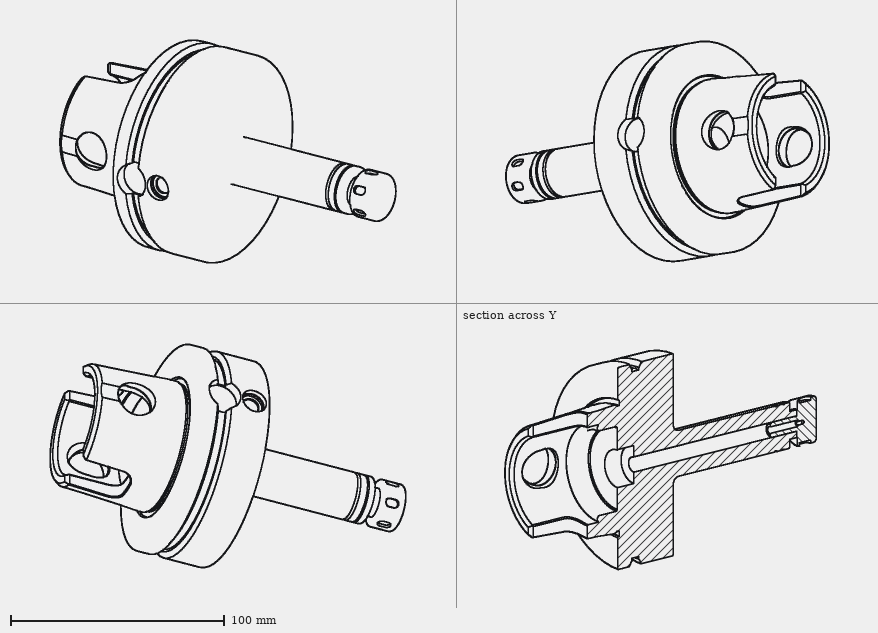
import cadquery as cq
import math

LENGTH = 165.0
FLANGE_DIA = 100.0

TIP_RADIUS = 28.4
TIP_CHAMFER_LENGTH = 2.0
TAPER_START_RADIUS = 29.7
TAPER_END_RADIUS = 31.8
TAPER_END = 42.7

RELIEF_START = 43.7
RELIEF_RADIUS = 31.0
RELIEF_SHOULDER_RADIUS = 31.7
RELIEF_DEPTH = 1.0
RELIEF_OUTER_RADIUS = 34.0
RELIEF_SLOPE = 0.5

FLANGE_FACE = 44.9
FLANGE_END = 78.9
FLANGE_EDGE_FILLET = 1.0
GROOVE_CENTER = 55.8
GROOVE_WIDTH = 7.1
GROOVE_FLOOR_WIDTH = 4.0
GROOVE_FLOOR_RADIUS = 46.2
GROOVE_FLANK_ANGLE = 30.0

SHAFT_DIA = 23.0
SHAFT_ROOT_FILLET = 3.0
SHAFT_END = 149.0
SHAFT_END_FILLET = 1.0
SHAFT_GROOVES = [(140.5, 1.5, 0.5), (145.2, 0.8, 0.3)]
NECK_DIA = 14.0
NUT_BACK = 153.1

BORE_RADIUS = 24.0
BORE_CHAMFER = 1.2
BORE_CHAMFER_LENGTH = 2.0
LIP_START = 33.5
LIP_CREST = 32.7
LIP_CREST_RADIUS = 22.6
LIP_END = 34.6
CHAMBER_RADIUS = 20.8
CHAMBER_CHAMFER = 0.7
CHAMBER_CHAMFER_LENGTH = 0.5
CHAMBER_END = 44.7
TUBE_SEAT_DIA = 18.5
TUBE_SEAT_DEPTH = 9.9
COOLANT_BORE_DIA = 7.3

SLOT_WIDTH = 19.8
SLOT_END = 26.5
SLOT_CORNER_RADIUS = 5.8
SLOT_EDGE_CHAMFER = 0.5
SLOT_MOUTH_CHAMFER = 1.2
SLOT_MOUTH_LENGTH = 2.1
CROSS_HOLE_DIA = 18.5
CROSS_HOLE_X = 19.1
CROSS_HOLE_INNER_DIA = 19.0
CROSS_HOLE_STEP_OFFSET = 25.5
ACCESS_TILT = 28.0
ACCESS_END_X = 18.2
ACCESS_END_OFFSET = 25.4
FLAT_WIDTH = 8.4
FLAT_DEPTH = 0.3

GRIP_HOLE_DIA = 16.0
GRIP_HOLE_FLOOR = 44.5
CHIP_HOLE_X = 70.8
CHIP_HOLE_DIA = 11.2
CHIP_HOLE_RIM_DIA = 12.0
CHIP_RIM_FLOOR = 47.0
CHIP_HOLE_FLOOR = 45.7
CHIP_CORE_DIA = 8.0
CHIP_CORE_FLOOR = 44.9

NUT_DIA = 23.0
NUT_BACK_FILLET = 1.0
NUT_FRONT_FILLET = 2.0
WRENCH_SLOT_COUNT = 6
WRENCH_SLOT_LENGTH = 6.5
WRENCH_SLOT_WIDTH = 4.0
WRENCH_SLOT_X = 158.0
WRENCH_SLOT_FLOOR = 9.9
COLLET_BACK = 137.0
COLLET_BACK_DIA = 5.8
COLLET_CHAMFER_LENGTH = 0.8
COLLET_BORE_DIA = 3.0
COLLET_BORE_RIM_DIA = 3.5
COLLET_BORE_DEPTH = 16.5
PILOT_BORE_DIA = 1.6
PILOT_BORE_DEPTH = 19.8


def revolve_about_x(profile):
    """Turn a closed (x, radius) profile about the tool axis."""
    return profile.close().revolve(360, (0, 0, 0), (1, 0, 0))


def cylinder_x(start, end, dia):
    return cq.Workplane("YZ", origin=(start, 0, 0)).circle(dia / 2).extrude(end - start)


def shank_outside():
    recess = FLANGE_FACE + RELIEF_DEPTH
    return revolve_about_x(
        cq.Workplane("XY")
        .lineTo(0, TIP_RADIUS)
        .lineTo(TIP_CHAMFER_LENGTH, TAPER_START_RADIUS)
        .lineTo(TAPER_END, TAPER_END_RADIUS)
        .lineTo(RELIEF_START, RELIEF_SHOULDER_RADIUS)
        .lineTo(FLANGE_FACE, RELIEF_RADIUS)
        .lineTo(recess, RELIEF_RADIUS)
        .lineTo(recess, 0)
    )


def flange():
    body = cylinder_x(FLANGE_FACE, FLANGE_END, FLANGE_DIA).edges().fillet(FLANGE_EDGE_FILLET)
    relief = revolve_about_x(
        cq.Workplane("XY")
        .moveTo(FLANGE_FACE, 0)
        .lineTo(FLANGE_FACE, RELIEF_OUTER_RADIUS)
        .lineTo(FLANGE_FACE + RELIEF_DEPTH, RELIEF_OUTER_RADIUS - RELIEF_SLOPE)
        .lineTo(FLANGE_FACE + RELIEF_DEPTH, 0)
    )
    rim = FLANGE_DIA / 2
    half_width = GROOVE_WIDTH / 2
    half_floor = GROOVE_FLOOR_WIDTH / 2
    flank_foot = rim - (half_width - half_floor) / math.tan(math.radians(GROOVE_FLANK_ANGLE))
    groove = revolve_about_x(
        cq.Workplane("XY")
        .moveTo(GROOVE_CENTER - half_floor, GROOVE_FLOOR_RADIUS)
        .lineTo(GROOVE_CENTER - half_floor, flank_foot)
        .lineTo(GROOVE_CENTER - half_width, rim)
        .lineTo(GROOVE_CENTER + half_width, rim)
        .lineTo(GROOVE_CENTER + half_floor, flank_foot)
        .lineTo(GROOVE_CENTER + half_floor, GROOVE_FLOOR_RADIUS)
    )
    return body.cut(relief).cut(groove)


def shaft():
    radius = SHAFT_DIA / 2
    fillet_dip = SHAFT_ROOT_FILLET * (1 - math.sqrt(0.5))
    body = revolve_about_x(
        cq.Workplane("XY")
        .moveTo(FLANGE_END, 0)
        .lineTo(FLANGE_END, radius + SHAFT_ROOT_FILLET)
        .threePointArc(
            (FLANGE_END + fillet_dip, radius + fillet_dip),
            (FLANGE_END + SHAFT_ROOT_FILLET, radius),
        )
        .lineTo(SHAFT_END, radius)
        .lineTo(SHAFT_END, 0)
    )
    body = body.faces(">X").edges().fillet(SHAFT_END_FILLET)
    for center, width, depth in SHAFT_GROOVES:
        groove = revolve_about_x(
            cq.Workplane("XY")
            .moveTo(center - width / 2, radius)
            .threePointArc((center, radius - depth), (center + width / 2, radius))
        )
        body = body.cut(groove)
    return body.union(cylinder_x(SHAFT_END, NUT_BACK, NECK_DIA))


def shank_bore():
    """Cutter for the stepped bore, with a rounded lip around the inner chamber."""
    return revolve_about_x(
        cq.Workplane("XY")
        .lineTo(0, BORE_RADIUS + BORE_CHAMFER)
        .lineTo(BORE_CHAMFER_LENGTH, BORE_RADIUS)
        .lineTo(LIP_START, BORE_RADIUS)
        .threePointArc((LIP_CREST, LIP_CREST_RADIUS), (LIP_END, CHAMBER_RADIUS))
        .lineTo(CHAMBER_END - CHAMBER_CHAMFER_LENGTH, CHAMBER_RADIUS)
        .lineTo(CHAMBER_END, CHAMBER_RADIUS - CHAMBER_CHAMFER)
        .lineTo(CHAMBER_END, 0)
    )


def drive_slots():
    """Cutter for the two drive slots, open at the tip and opposite each other along Z."""
    return (
        cq.Workplane("XY")
        .rect(2 * SLOT_END, SLOT_WIDTH)
        .extrude(FLANGE_DIA / 2, both=True)
        .edges("|Z")
        .fillet(SLOT_CORNER_RADIUS)
    )


def slot_mouth():
    """Cutter for the flared entry of the drive slots."""
    half = SLOT_WIDTH / 2
    return (
        cq.Workplane("XY")
        .moveTo(0, -half - SLOT_MOUTH_CHAMFER)
        .lineTo(SLOT_MOUTH_LENGTH, -half)
        .lineTo(SLOT_MOUTH_LENGTH, half)
        .lineTo(0, half + SLOT_MOUTH_CHAMFER)
        .close()
        .extrude(FLANGE_DIA / 2, both=True)
    )


def cross_hole():
    """Cutter for the hole through both shank walls, slightly wider on the bore side."""
    center = cq.Workplane("XZ").center(CROSS_HOLE_X, 0)
    through = center.circle(CROSS_HOLE_DIA / 2).extrude(FLANGE_DIA / 2, both=True)
    inner = center.circle(CROSS_HOLE_INNER_DIA / 2).extrude(CROSS_HOLE_STEP_OFFSET, both=True)
    return through.union(inner)


def rim_hole(side, x, dia, floor):
    """Radial blind hole in the flange, from `floor` outward on the -Y (side = 1) or +Y (side = -1)."""
    plane = cq.Workplane("XZ", origin=(x, -side * floor, 0))
    return plane.circle(dia / 2).extrude(side * (FLANGE_DIA / 2 - floor))


def access_relief(side):
    """Flat-ended cutter, tilted towards the tip, that widens one end of the cross hole from inside."""
    angle = math.radians(ACCESS_TILT)
    inward = cq.Vector(-math.sin(angle), side * math.cos(angle), 0)
    end = cq.Vector(ACCESS_END_X, -side * ACCESS_END_OFFSET, 0)
    return cq.Workplane(cq.Solid.makeCylinder(CROSS_HOLE_DIA / 2, ACCESS_END_OFFSET, end, inward))


def tip_flat(side):
    """Cutter for the flat from the tip to the cross hole, parallel to the taper flank."""
    slope = (TAPER_END_RADIUS - TAPER_START_RADIUS) / (TAPER_END - TIP_CHAMFER_LENGTH)
    start = TAPER_START_RADIUS - FLAT_DEPTH - slope * TIP_CHAMFER_LENGTH
    end = start + slope * CROSS_HOLE_X
    return (
        cq.Workplane("XY")
        .moveTo(0, -side * start)
        .lineTo(CROSS_HOLE_X, -side * end)
        .lineTo(CROSS_HOLE_X, -side * TAPER_END_RADIUS)
        .lineTo(0, -side * TAPER_END_RADIUS)
        .close()
        .extrude(FLAT_WIDTH / 2, both=True)
    )


class SlotRimSelector(cq.Selector):
    """Edges where the drive slots break through the taper flank and the bore."""

    def filter(self, objects):
        return [edge for edge in objects if self.on_rim(edge)]

    @staticmethod
    def on_rim(edge):
        box = edge.BoundingBox()
        margin = 0.08
        in_slot = max(box.ymax, -box.ymin) < SLOT_WIDTH / 2 + margin
        behind_tip = box.xmin > BORE_CHAMFER_LENGTH - margin and box.xmax < SLOT_END + margin
        at_depth = box.zmax - box.zmin < BORE_CHAMFER_LENGTH
        return in_slot and behind_tip and at_depth


def make_holder():
    body = shank_outside().union(flange()).union(shaft())
    body = body.cut(shank_bore()).cut(drive_slots())
    body = body.edges(SlotRimSelector()).chamfer(SLOT_EDGE_CHAMFER)
    body = body.cut(slot_mouth())
    body = body.cut(cylinder_x(CHAMBER_END, CHAMBER_END + TUBE_SEAT_DEPTH, TUBE_SEAT_DIA))
    body = body.cut(cylinder_x(CHAMBER_END, NUT_BACK, COOLANT_BORE_DIA))
    body = body.cut(cross_hole())
    for side in (1, -1):
        body = body.cut(access_relief(side))
        body = body.cut(tip_flat(side))
        body = body.cut(rim_hole(side, GROOVE_CENTER, GRIP_HOLE_DIA, GRIP_HOLE_FLOOR))
    body = body.cut(rim_hole(1, CHIP_HOLE_X, CHIP_HOLE_RIM_DIA, CHIP_RIM_FLOOR))
    body = body.cut(rim_hole(1, CHIP_HOLE_X, CHIP_HOLE_DIA, CHIP_HOLE_FLOOR))
    return body.cut(rim_hole(1, CHIP_HOLE_X, CHIP_CORE_DIA, CHIP_CORE_FLOOR))


def make_nut():
    nut = cylinder_x(NUT_BACK, LENGTH, NUT_DIA)
    nut = nut.faces(">X").edges().fillet(NUT_FRONT_FILLET)
    nut = nut.faces("<X").edges().fillet(NUT_BACK_FILLET)
    wrench_slot = (
        cq.Workplane("XY", origin=(WRENCH_SLOT_X, 0, WRENCH_SLOT_FLOOR))
        .slot2D(WRENCH_SLOT_LENGTH, WRENCH_SLOT_WIDTH)
        .extrude(NUT_DIA / 2)
    )
    for i in range(WRENCH_SLOT_COUNT):
        nut = nut.cut(wrench_slot.rotate((0, 0, 0), (1, 0, 0), i * 360 / WRENCH_SLOT_COUNT))
    pilot_end = COLLET_BACK + PILOT_BORE_DEPTH
    collet = revolve_about_x(
        cq.Workplane("XY")
        .moveTo(COLLET_BACK, 0)
        .lineTo(COLLET_BACK, COLLET_BACK_DIA / 2)
        .lineTo(COLLET_BACK + COLLET_CHAMFER_LENGTH, COOLANT_BORE_DIA / 2)
        .lineTo(NUT_BACK, COOLANT_BORE_DIA / 2)
        .lineTo(NUT_BACK, 0)
    )
    bore = revolve_about_x(
        cq.Workplane("XY")
        .moveTo(COLLET_BACK, 0)
        .lineTo(COLLET_BACK, COLLET_BORE_RIM_DIA / 2)
        .lineTo(COLLET_BACK + COLLET_CHAMFER_LENGTH, COLLET_BORE_DIA / 2)
        .lineTo(COLLET_BACK + COLLET_BORE_DEPTH, COLLET_BORE_DIA / 2)
        .lineTo(COLLET_BACK + COLLET_BORE_DEPTH, PILOT_BORE_DIA / 2)
        .lineTo(pilot_end, PILOT_BORE_DIA / 2)
        .lineTo(pilot_end + PILOT_BORE_DIA / 2, 0)
    )
    return nut.union(collet).cut(bore)


holder = make_holder()
nut = make_nut()

result = cq.Compound.makeCompound([holder.val(), nut.val()])